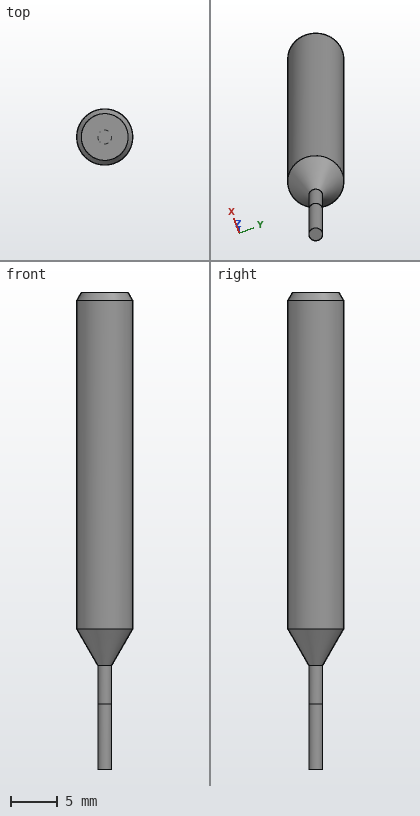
import cadquery as cq
import math

total_length = 51.0
shank_diameter = 6.0
tip_diameter = 1.5
cutter_length = 7.05
reach = 11.1
taper_half_angle = 30.0
end_chamfer_inset = 0.5

shank_radius = shank_diameter / 2
tip_radius = tip_diameter / 2
taper_slope = math.tan(math.radians(taper_half_angle))
cone_height = (shank_radius - tip_radius) / taper_slope
end_chamfer_height = end_chamfer_inset / taper_slope

bottom_z = -total_length / 2
top_z = total_length / 2
cutter_top_z = bottom_z + cutter_length
cone_bottom_z = bottom_z + reach
cone_top_z = cone_bottom_z + cone_height


def make_shank():
    """Revolved shank: neck, cone, cylindrical grip and chamfered end."""
    half_profile = (
        cq.Workplane("XZ")
        .moveTo(0, cutter_top_z)
        .lineTo(tip_radius, cutter_top_z)
        .lineTo(tip_radius, cone_bottom_z)
        .lineTo(shank_radius, cone_top_z)
        .lineTo(shank_radius, top_z - end_chamfer_height)
        .lineTo(shank_radius - end_chamfer_inset, top_z)
        .lineTo(0, top_z)
        .close()
    )
    return half_profile.revolve(360, (0, 0), (0, 1))


def make_cutter():
    """Plain cylindrical cutting end, butted against the neck."""
    return cq.Workplane("XY", origin=(0, 0, bottom_z)).circle(tip_radius).extrude(cutter_length)


shank = make_shank()
cutter = make_cutter()

result = cq.Compound.makeCompound([shank.val(), cutter.val()])